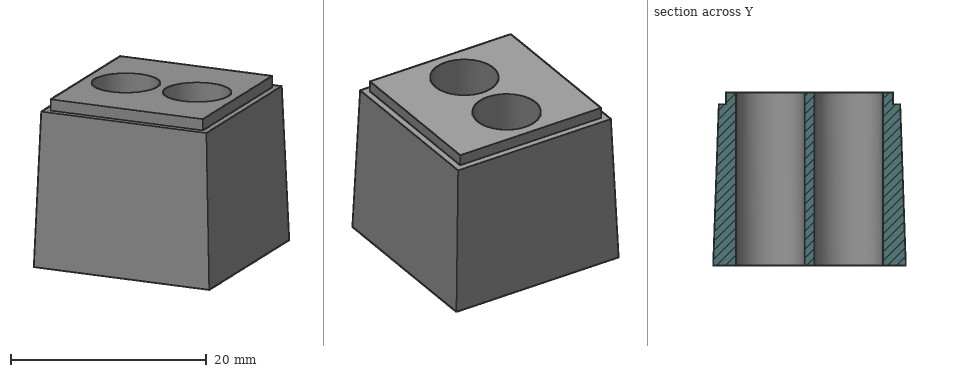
import cadquery as cq

base_side = 19.714
body_height = 16.5
draft_angle = 2.0

total_height = 17.7
step_side = 17.1
step_height = total_height - body_height

hole_diameter = 7.0
hole_spacing = 8.0


def make_body():
    """Square body narrowing upward from the base at Z = 0."""
    return cq.Workplane("XY").rect(base_side, base_side).extrude(body_height, taper=draft_angle)


def make_step():
    """Straight-sided square step, set in from the top edge of the body."""
    return (
        cq.Workplane("XY")
        .workplane(offset=body_height)
        .rect(step_side, step_side)
        .extrude(step_height)
    )


def make_holes():
    """Cylinders that cut the two holes through the full height."""
    return (
        cq.Workplane("XY")
        .pushPoints([(side * hole_spacing / 2, 0) for side in (-1, 1)])
        .circle(hole_diameter / 2)
        .extrude(total_height)
    )


result = make_body().union(make_step()).cut(make_holes())